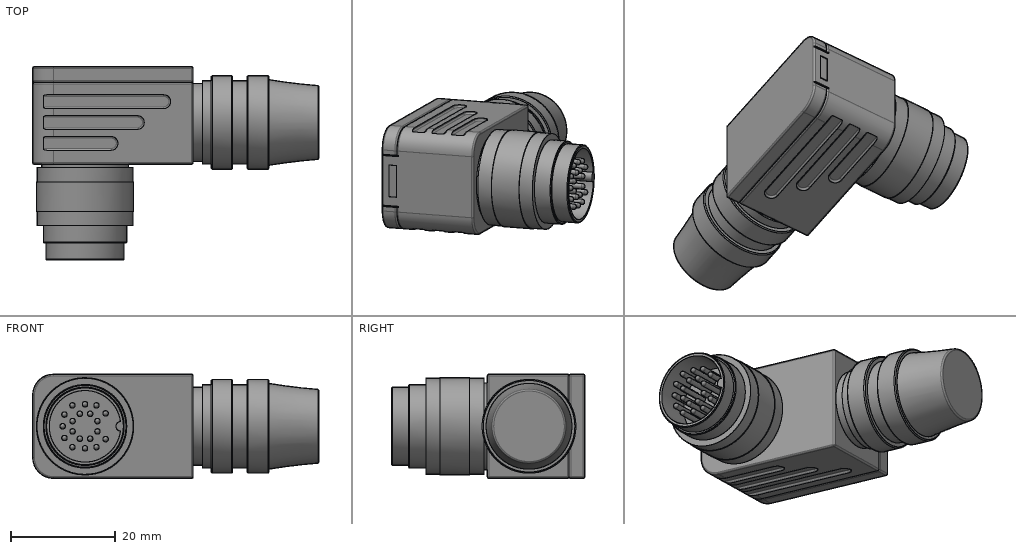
import cadquery as cq
import math


housing_height = 20.0
housing_left = -10.05
housing_right = 20.8
housing_length = housing_right - housing_left
housing_front = -8.05
housing_back = 10.7
cover_thickness = 3.0
joint_y = housing_back - cover_thickness
corner_radius = 4.0
edge_round = 0.35

tongue_width = 9.8
tongue_gap = 0.2
tongue_gap_depth = 0.15
window_height = 6.2
window_width = 1.55
window_depth = 0.1
window_y = 8.45

groove_count = 3
groove_width = 2.65
groove_depth = 0.5
groove_floor_round = 0.3
groove_pitch = 4.0
longest_groove_tip = 16.45
groove_tip_step = 5.05

plug_sections = [
    (8.35, 0.6),
    (9.25, 2.8),
    (9.35, 5.65),
    (9.25, 2.7),
]
barrel_radius = 8.05
barrel_length = 3.35
nose_radius = 7.55
nose_length = 3.25
nose_chamfer = 0.15
bore_radius = 6.9
bore_depth = 7.7
key_radius = 0.95
plug_tip_y = (
    housing_front - sum(length for radius, length in plug_sections) - barrel_length - nose_length
)
bore_floor_y = plug_tip_y + bore_depth

pin_radius = 0.52
pin_length = 7.6
inner_pin_count = 8
inner_pin_circle = 2.6
outer_pins_upper = [(-3.95, 2.25), (-2.4, 4.0), (2.2, 4.0), (3.95, 2.5)]
outer_pins_vertical = 4.25
outer_pin_left = -4.3

neck_radius = 7.55
neck_end = 22.55
sleeve_radius = 8.05
rib_radius = 9.0
rib_chamfer = 0.2
first_rib = (24.25, 28.4)
second_rib = (31.15, 35.35)
cone_start_radius = 8.25
cone_end_radius = 7.1
cone_hollow = 0.1
cone_end_round = 0.35
gland_end = 44.95


def rounded_block(y_start, y_end):
    """Housing outline between two Y positions, with large corners on the left and all edges rounded."""
    block = cq.Workplane("XY").box(
        housing_length, y_end - y_start, housing_height, centered=(False, False, True)
    )
    block = block.translate((housing_left, y_start, 0))
    return block.edges("|Y and <X").fillet(corner_radius).edges().fillet(edge_round)


def joint_tongue():
    """Plain block that fills the joint groove across the tongue."""
    depth = 2 * edge_round
    tongue = cq.Workplane("XY").box(depth, depth, tongue_width, centered=(False, True, True))
    return tongue.translate((housing_left, joint_y, 0))


def tongue_cuts():
    """Thin gaps on both sides of the tongue, and the shallow latch window."""
    gap_start = joint_y - edge_round
    gap_length = housing_back - gap_start
    window = cq.Workplane("XY").box(2 * window_depth, window_width, window_height)
    cuts = window.translate((housing_left, window_y, 0))
    for side in (-1, 1):
        gap = cq.Workplane("XY").box(2 * tongue_gap_depth, gap_length, tongue_gap)
        gap_z = side * (tongue_width + tongue_gap) / 2
        cuts = cuts.add(gap.translate((housing_left, gap_start + gap_length / 2, gap_z)))
    return cuts.combine()


def finger_groove(tip_x, y):
    """Cutter for one groove in the top face; it runs out through the rounded left corner."""
    start_x = housing_left - groove_width
    cutter = (
        cq.Workplane("XY", origin=((start_x + tip_x) / 2, y, housing_height / 2 - groove_depth))
        .slot2D(tip_x - start_x, groove_width)
        .extrude(2 * groove_depth)
    )
    return cutter.faces("<Z").edges().fillet(groove_floor_round)


def plug_cylinder(radius, y_start, length, x=0, z=0):
    """Cylinder that runs from y_start toward -Y."""
    return cq.Workplane("XZ", origin=(x, y_start, z)).circle(radius).extrude(length)


def plug_shell():
    """Stepped sleeve with a keyed bore; a stub inside the housing anchors it."""
    y = housing_front
    neck_section_radius = plug_sections[0][0]
    shell = plug_cylinder(neck_section_radius, 0, -housing_front)
    for radius, length in plug_sections:
        shell = shell.union(plug_cylinder(radius, y, length))
        y -= length
    barrel = plug_cylinder(barrel_radius, y, barrel_length).faces("<Y").chamfer(nose_chamfer)
    nose = plug_cylinder(nose_radius, y, barrel_length + nose_length).faces("<Y").chamfer(nose_chamfer)
    bore = plug_cylinder(bore_radius, bore_floor_y, bore_depth)
    key = plug_cylinder(key_radius, bore_floor_y, bore_depth, x=bore_radius)
    return shell.union(barrel).union(nose).cut(bore.cut(key))


def pin_positions():
    """X and Z of every pin: an outer ring mirrored about the X axis, and an even inner ring."""
    positions = [(outer_pin_left, 0), (0, outer_pins_vertical), (0, -outer_pins_vertical)]
    for x, z in outer_pins_upper:
        positions += [(x, z), (x, -z)]
    for index in range(inner_pin_count):
        angle = 2 * math.pi * (index + 0.5) / inner_pin_count
        positions.append((inner_pin_circle * math.cos(angle), inner_pin_circle * math.sin(angle)))
    return positions


def contact_pin(x, z):
    """Round pin with a domed tip, rooted one radius below the bore floor."""
    root_y = bore_floor_y + pin_radius
    stem = plug_cylinder(pin_radius, root_y, pin_length, x, z)
    dome = cq.Workplane("XY").sphere(pin_radius)
    return stem.union(dome.translate((x, root_y - pin_length, z)))


def rib(start, end):
    """Chamfered collar around the cable axis."""
    ring = cq.Workplane("YZ", origin=(start, 0, 0)).circle(rib_radius).extrude(end - start)
    return ring.faces("<X or >X").edges().chamfer(rib_chamfer)


def cable_gland():
    """Revolved neck, sleeve and slightly hollow cone, with two collars."""
    cone_start = second_rib[1]
    cone_middle = (
        (cone_start + gland_end) / 2,
        (cone_start_radius + cone_end_radius) / 2 - cone_hollow,
    )
    core = (
        cq.Workplane("XY")
        .moveTo(0, 0)
        .lineTo(0, neck_radius)
        .lineTo(neck_end, neck_radius)
        .lineTo(neck_end, sleeve_radius)
        .lineTo(cone_start, sleeve_radius)
        .lineTo(cone_start, cone_start_radius)
        .threePointArc(cone_middle, (gland_end, cone_end_radius))
        .lineTo(gland_end, 0)
        .close()
        .revolve(360, (0, 0, 0), (1, 0, 0))
    )
    core = core.faces(">X").edges().fillet(cone_end_round)
    return core.union(rib(*first_rib)).union(rib(*second_rib))


housing = rounded_block(housing_front, joint_y).union(rounded_block(joint_y, housing_back))
housing = housing.union(joint_tongue()).cut(tongue_cuts())
for row in range(groove_count):
    groove = finger_groove(longest_groove_tip - row * groove_tip_step, groove_pitch * (1 - row))
    housing = housing.cut(groove).cut(groove.mirror("XY"))

result = housing.union(cable_gland()).union(plug_shell())
for pin_x, pin_z in pin_positions():
    result = result.union(contact_pin(pin_x, pin_z))